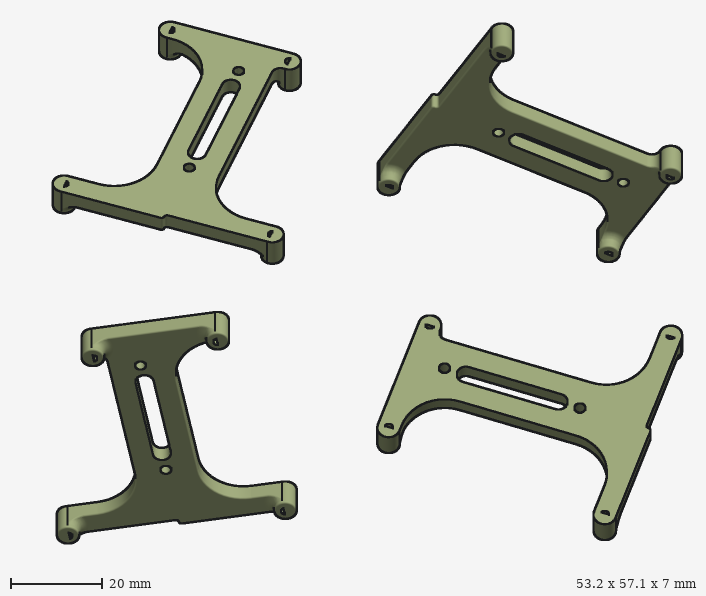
import cadquery as cq
length_y = 57.1
width_x = 53.2
total_height = 7.0

plate_thickness = 4.0
foot_diameter = 5.0
edge_round = 0.4
foot_flare = 2.0

web_width = 14.0
web_fillet = 10.0
small_web_fillet = 2.0

upper_left_x = -18.4
upper_right_x = 9.4
right_arm_rise = 1.25

foot_hole_diameter = 1.9
upper_seam_inset = 0.1
lower_seam_inset = 0.3
web_hole_diameter = 2.4
web_hole_spacing = 31.4
slot_length = 25.45
slot_width = 4.0
opening_center_y = 3.7

region_size = 17.15
flare_overlap = 0.55
tolerance = 0.005
seam_edge_length = 0.15

plate_bottom = total_height - plate_thickness
foot_radius = foot_diameter / 2
flare_start = plate_bottom - foot_flare
flare_top = plate_bottom + flare_overlap
half_web = web_width / 2
upper_y = length_y / 2 - foot_radius
left_arm_y = -upper_y
right_arm_y = left_arm_y + right_arm_rise
lower_x = width_x / 2 - foot_radius
step_round = right_arm_rise / 2

feet = [
    (upper_left_x, upper_y, upper_seam_inset, 1),
    (upper_right_x, upper_y, upper_seam_inset, -1),
    (-lower_x, left_arm_y, lower_seam_inset, 1),
    (lower_x, right_arm_y, lower_seam_inset, -1),
]


def plate_outline():
    """Closed outline, counter-clockwise from the lower left arm; every arc is tangent."""
    r = foot_radius
    step_x = 0.0
    return (
        cq.Workplane("XY")
        .moveTo(-lower_x, left_arm_y - r)
        .lineTo(step_x - step_round, left_arm_y - r)
        .tangentArcPoint((step_x, left_arm_y - r + step_round), relative=False)
        .tangentArcPoint((step_x + step_round, right_arm_y - r), relative=False)
        .lineTo(lower_x, right_arm_y - r)
        .tangentArcPoint((lower_x, right_arm_y + r), relative=False)
        .lineTo(half_web + web_fillet, right_arm_y + r)
        .tangentArcPoint((half_web, right_arm_y + r + web_fillet), relative=False)
        .lineTo(half_web, upper_y - r - small_web_fillet)
        .tangentArcPoint((half_web + small_web_fillet, upper_y - r), relative=False)
        .lineTo(upper_right_x, upper_y - r)
        .tangentArcPoint((upper_right_x, upper_y + r), relative=False)
        .lineTo(upper_left_x, upper_y + r)
        .tangentArcPoint((upper_left_x, upper_y - r), relative=False)
        .lineTo(-half_web - web_fillet, upper_y - r)
        .tangentArcPoint((-half_web, upper_y - r - web_fillet), relative=False)
        .lineTo(-half_web, left_arm_y + r + web_fillet)
        .tangentArcPoint((-half_web - web_fillet, left_arm_y + r), relative=False)
        .lineTo(-lower_x, left_arm_y + r)
        .tangentArcPoint((-lower_x, left_arm_y - r), relative=False)
        .close()
    )


def inward_region(x, y, inset, inward):
    """Block around a foot that starts at its seam plane and reaches toward the web."""
    block = cq.Workplane("XY").box(region_size, region_size, region_size)
    return block.translate((x + inward * (inset + region_size / 2), y, 0))


def outward_region(x, y, inset, inward):
    """Block on the other side of the same seam plane."""
    return inward_region(x, y, -inset, -inward)


def flare(x, y):
    """Round pad whose wall widens upward along a concave arc to meet the plate underside."""
    return (
        cq.Workplane("XZ")
        .moveTo(0, flare_start)
        .lineTo(foot_radius, flare_start)
        .radiusArc((foot_radius + foot_flare, plate_bottom), foot_flare)
        .lineTo(foot_radius + foot_flare, flare_top)
        .lineTo(0, flare_top)
        .close()
        .revolve()
        .translate((x, y, 0))
    )


def plate():
    """Plate between the seam planes, with flares below it and a rounded lower rim."""
    outline = plate_outline()
    outline_wire = outline.wire().val()
    prism = outline.extrude(total_height)
    below_plate = cq.Workplane("XY").box(2 * length_y, 2 * length_y, 2 * plate_bottom)
    body = prism.cut(below_plate)
    for foot in feet:
        body = body.cut(outward_region(*foot))
    for foot in feet:
        body = body.union(flare(*foot[:2]).intersect(prism).intersect(inward_region(*foot)))

    def on_lower_rim(edge):
        middle = edge.positionAt(0.5)
        footprint = cq.Vertex.makeVertex(middle.x, middle.y, 0)
        below = edge.BoundingBox().zmax < plate_bottom + tolerance
        along_outline = footprint.distance(outline_wire) < tolerance
        return below and along_outline and edge.Length() > seam_edge_length

    return body.edges().filter(on_lower_rim).fillet(edge_round)


def foot_cylinder(x, y):
    """Full-height round foot with a rounded lower edge."""
    cylinder = cq.Workplane("XY").center(x, y).circle(foot_radius).extrude(total_height)
    return cylinder.faces("<Z").edges().fillet(edge_round)


def foot_hole(x, y, inset, inward):
    """D-shaped hole: only the part on the web side of the seam plane is open."""
    hole = cq.Workplane("XY").center(x, y).circle(foot_hole_diameter / 2).extrude(total_height)
    return hole.intersect(inward_region(x, y, inset, inward))


def web_openings():
    """Long slot with a round hole beyond each end."""
    middle = cq.Workplane("XY").center(0, opening_center_y)
    slot = middle.slot2D(slot_length, slot_width, 90).extrude(total_height)
    holes = middle.rarray(0.55, web_hole_spacing, 1, 2).circle(web_hole_diameter / 2).extrude(total_height)
    return slot.union(holes)


result = plate()
for x, y, _, _ in feet:
    result = result.union(foot_cylinder(x, y))
for foot in feet:
    result = result.cut(foot_hole(*foot))
result = result.cut(web_openings())